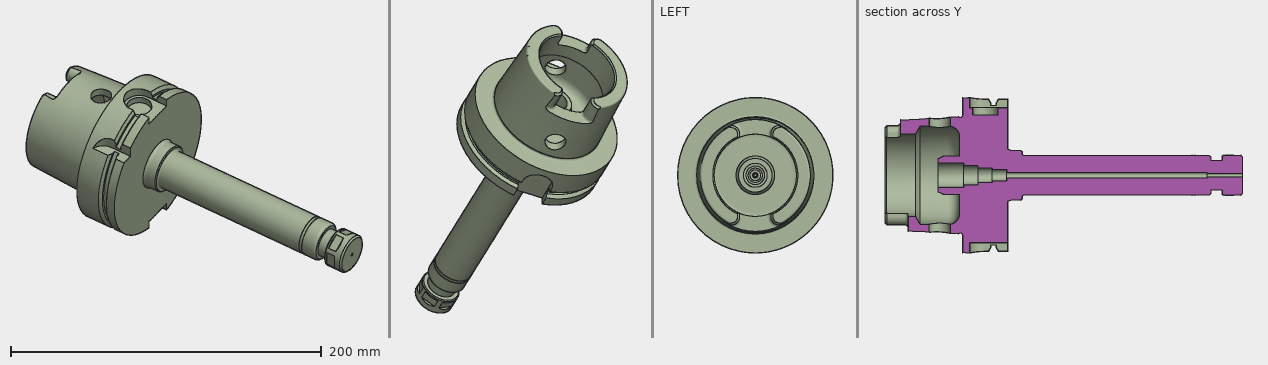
import cadquery as cq
import math

length = 230.0

taper_end_radius = 35.5
taper_base_radius = 37.7
taper_length = 47.4
end_round = 1.4
relief_radius = 37.3
relief_step = 0.7
root_fillet = 1.5

flange_radius = 100.0 / 2
flange_start = 50.0
flange_end = 79.1
groove_start = 66.7
groove_end = 73.0
groove_bevel_width = 1.4
groove_bevel_depth = 2.5
groove_floor_radius = 46.0

collar_radius = 16.0
collar_end = 88.3
collar_flare_length = 2.8
collar_flare_height = 1.04
collar_chamfer = 0.7
tube_root_fillet = 1.0

tube_radius = 26.0 / 2
tube_end = 209.8
tube_end_round = 2.0
tube_end_drop = 1.4
ring_start = 197.3
ring_width = 2.0
ring_depth = 0.2
neck_radius = 19.0 / 2

nut_start = 217.0
nut_back_chamfer = 0.7
nut_front_chamfer = 1.2
flat_count = 6
flat_distance = 12.0
flat_start = 218.7
flat_end = 224.2
flat_run_out = 1.0

bore_radius = 26.5
bore_depth = 47.8
clamp_start = 19.8
clamp_radius = 31.5
clamp_cone_angle = 60
clamp_corner_fillet = 7.0
bore_mouth_chamfer = 1.0
spigot_start = 34.0
spigot_radius = 12.5
spigot_tip_radius = 10.8
spigot_tip_length = 3.5

passage_steps = [(15.5, 50.5), (12.0, 59.8), (9.2, 69.0), (7.0, 78.2), (3.5, 207.0), (1.7, length)]

drive_half_width = 10.1
drive_flare_start = 27.0
drive_flare_radius = 5.0
drive_floor_fillet = 2.0
upper_drive_depth = 10.0
lower_drive_depth = 15.0

cross_hole_x = 35.2
cross_hole_diameter = 13.3

cutter_radius = 20.0 / 2
cutter_start = 64.6
key_slot_floor = 43.5
key_hole_diameter = 16.0
key_hole_depth = 4.5
notch_floor = 31.5


def shallow_arc_radius(run, rise):
    return (run**2 + rise**2) / (2 * rise)


def make_body():
    groove_bevel_radius = flange_radius - groove_bevel_depth
    collar_root = collar_radius + collar_flare_height
    flare_radius = shallow_arc_radius(collar_flare_length, collar_flare_height)
    tube_round_radius = shallow_arc_radius(tube_end_round, tube_end_drop)
    root_x = collar_end + tube_root_fillet
    profile = (
        cq.Workplane("XY")
        .lineTo(0, taper_end_radius - end_round)
        .radiusArc((end_round, taper_end_radius), end_round)
        .lineTo(taper_length, taper_base_radius)
        .lineTo(taper_length + relief_step, relief_radius)
        .lineTo(flange_start - root_fillet, relief_radius)
        .radiusArc((flange_start, relief_radius + root_fillet), -root_fillet)
        .lineTo(flange_start, flange_radius)
        .lineTo(groove_start, flange_radius)
        .lineTo(groove_start + groove_bevel_width, groove_bevel_radius)
        .lineTo(groove_start + groove_bevel_width, groove_floor_radius)
        .lineTo(groove_end - groove_bevel_width, groove_floor_radius)
        .lineTo(groove_end - groove_bevel_width, groove_bevel_radius)
        .lineTo(groove_end, flange_radius)
        .lineTo(flange_end, flange_radius)
        .lineTo(flange_end, collar_root)
        .radiusArc((flange_end + collar_flare_length, collar_radius), -flare_radius)
        .lineTo(collar_end - collar_chamfer, collar_radius)
        .lineTo(collar_end, collar_radius - collar_chamfer)
        .lineTo(collar_end, tube_radius + tube_root_fillet)
        .radiusArc((root_x, tube_radius), -tube_root_fillet)
        .lineTo(ring_start, tube_radius)
        .lineTo(ring_start, tube_radius - ring_depth)
        .lineTo(ring_start + ring_width, tube_radius - ring_depth)
        .lineTo(ring_start + ring_width, tube_radius)
        .lineTo(tube_end - tube_end_round, tube_radius)
        .radiusArc((tube_end, tube_radius - tube_end_drop), tube_round_radius)
        .lineTo(tube_end, neck_radius)
        .lineTo(nut_start, neck_radius)
        .lineTo(nut_start, tube_radius - nut_back_chamfer)
        .lineTo(nut_start + nut_back_chamfer, tube_radius)
        .lineTo(length - nut_front_chamfer, tube_radius)
        .lineTo(length, tube_radius - nut_front_chamfer)
        .lineTo(length, 0)
        .close()
    )
    return profile.revolve(360, (0, 0, 0), (1, 0, 0))


def make_bore():
    cone_length = (clamp_radius - bore_radius) / math.tan(math.radians(clamp_cone_angle))
    mouth_radius = bore_radius + bore_mouth_chamfer
    profile = (
        cq.Workplane("XY")
        .lineTo(0, mouth_radius)
        .lineTo(bore_mouth_chamfer, bore_radius)
        .lineTo(clamp_start, bore_radius)
        .lineTo(clamp_start + cone_length, clamp_radius)
        .lineTo(bore_depth - clamp_corner_fillet, clamp_radius)
        .radiusArc((bore_depth, clamp_radius - clamp_corner_fillet), clamp_corner_fillet)
        .lineTo(bore_depth, spigot_radius)
        .lineTo(spigot_start + spigot_tip_length, spigot_radius)
        .lineTo(spigot_start, spigot_tip_radius)
        .lineTo(spigot_start, 0)
        .close()
    )
    return profile.revolve(360, (0, 0, 0), (1, 0, 0))


def turn_about_axis(shape, angle):
    return shape.rotate((0, 0, 0), (1, 0, 0), angle)


def half_turn(shape):
    return turn_about_axis(shape, 180)


def cylinder_x(diameter, start, end):
    return cq.Workplane("YZ", origin=(start, 0, 0)).circle(diameter / 2).extrude(end - start)


def drive_slot_outline(start):
    flare_y = drive_half_width + drive_flare_radius
    flare_z = drive_flare_start + drive_flare_radius
    return (
        cq.Workplane("YZ", origin=(start, 0, 0))
        .moveTo(-drive_half_width, 0)
        .lineTo(-drive_half_width, drive_flare_start)
        .radiusArc((-flare_y, flare_z), -drive_flare_radius)
        .lineTo(-flange_radius, flare_z)
        .lineTo(-flange_radius, flange_radius)
        .lineTo(flange_radius, flange_radius)
        .lineTo(flange_radius, flare_z)
        .lineTo(flare_y, flare_z)
        .radiusArc((drive_half_width, drive_flare_start), -drive_flare_radius)
        .lineTo(drive_half_width, 0)
        .close()
    )


def make_drive_slot(depth):
    slot = drive_slot_outline(0).extrude(depth).faces(">X").edges().fillet(drive_floor_fillet)
    mouth = drive_slot_outline(end_round).extrude(-end_round, taper=-45)
    return slot.union(mouth)


def make_cross_hole():
    start = (spigot_radius + bore_radius) / 2
    plane = cq.Workplane("XY", origin=(cross_hole_x, 0, start))
    return plane.circle(cross_hole_diameter / 2).extrude(taper_base_radius - start)


def make_milled_slot(center_y, floor):
    height = flange_radius - floor
    run = flange_end - cutter_start
    plane = cq.Workplane("XY", origin=(cutter_start, center_y, floor))
    round_end = plane.circle(cutter_radius).extrude(height)
    straight = plane.box(run, 2 * cutter_radius, height, centered=(False, True, False))
    return round_end.union(straight)


def make_key_hole():
    plane = cq.Workplane("XY", origin=(cutter_start, 0, key_slot_floor))
    return plane.circle(key_hole_diameter / 2).extrude(-key_hole_depth)


def make_wrench_flat():
    top = tube_radius + flat_run_out
    lean = flat_run_out * (top - flat_distance) / (tube_radius - flat_distance)
    return (
        cq.Workplane("XZ")
        .moveTo(flat_start, flat_distance)
        .lineTo(flat_end, flat_distance)
        .lineTo(flat_end + lean, top)
        .lineTo(flat_start, top)
        .close()
        .extrude(tube_radius, both=True)
    )


body = make_body()

body = body.cut(make_drive_slot(upper_drive_depth))
body = body.cut(half_turn(make_drive_slot(lower_drive_depth)))

body = body.cut(make_bore())
step_start = spigot_start
for diameter, step_end in passage_steps:
    body = body.cut(cylinder_x(diameter, step_start, step_end))
    step_start = step_end

upper_cross_hole = make_cross_hole()
body = body.cut(upper_cross_hole)
body = body.cut(half_turn(upper_cross_hole))

key_slot = make_milled_slot(0, key_slot_floor)
body = body.cut(key_slot)
body = body.cut(half_turn(key_slot))
body = body.cut(make_key_hole())
body = body.cut(make_milled_slot(-notch_floor - cutter_radius, notch_floor))

wrench_flat = make_wrench_flat()
flat_pitch = 360 / flat_count
for index in range(flat_count):
    body = body.cut(turn_about_axis(wrench_flat, (index + 0.5) * flat_pitch))

result = body